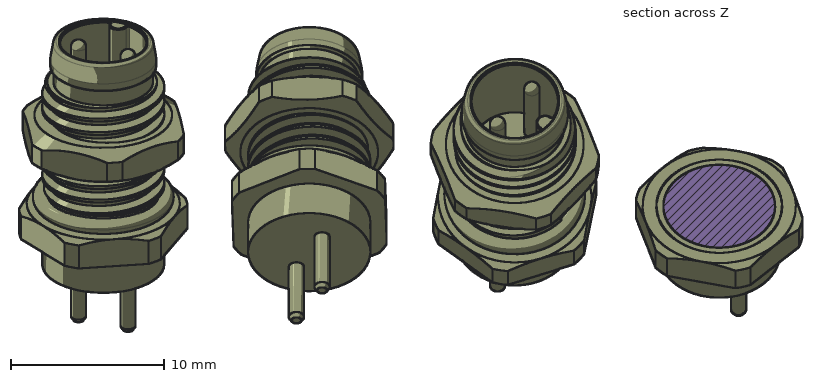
import cadquery as cq
import math


thread_radius = 4.0
thread_root_radius = 3.5
thread_top = 9.0
thread_turns = 8
groove_root_width = 0.25
groove_mouth_width = 0.8
groove_overcut = 0.1
thread_chamfer = 0.34

plug_top = 12.0
neck_radius = 3.25
snap_radius = 3.46
snap_bottom = 10.05
snap_cone_height = 0.15
snap_height = 0.65
lip_radius = 3.25
lip_fillet = 0.2

mouth_radius = 2.9
mouth_depth = 0.06
socket_radius = 2.81
socket_depth = 6.0
socket_chamfer = 0.06

key_radius = 0.57
key_center_y = 2.58
key_blend = 0.13

hex_across_flats = 10.0
hex_corner_diameter = 11.0
hex_chamfer_angle = 30
flange_thickness = 2.0
flange_face_radius = 5.0
nut_bottom = 4.0
nut_thickness = 2.55
nut_face_radius = 4.5
ring_thickness = 1.0
ring_outer_radius = 4.6

base_radius = 4.0
base_bottom = -4.5
pin_radius = 0.5
pin_spacing = 3.49
pin_bottom = -9.0
pin_top = 11.72
pin_tip_radius = 0.32
pin_tip_height = 0.3

thread_bottom = ring_thickness
pitch = (thread_top - thread_bottom) / thread_turns


def cylinder(radius, bottom, top):
    return cq.Workplane("XY").workplane(offset=bottom).circle(radius).extrude(top - bottom)


def revolved(points):
    """Solid of revolution about Z from (radius, height) points."""
    return cq.Workplane("XZ").polyline(points).close().revolve(360, (0, 0, 0), (0, 1, 0))


def hexagon(bottom, thickness, face_radius, corner_angle, chamfer_bottom):
    """Hexagonal prism with rounded corners and conically chamfered faces."""
    top = bottom + thickness
    corner_radius = hex_corner_diameter / 2
    drop = (corner_radius - face_radius) * math.tan(math.radians(hex_chamfer_angle))
    prism = (
        cq.Workplane("XY")
        .workplane(offset=bottom)
        .polygon(6, hex_across_flats / math.cos(math.pi / 6))
        .extrude(thickness)
        .rotate((0, 0, 0), (0, 0, 1), corner_angle)
    )
    upper = [(corner_radius, top - drop), (face_radius, top), (0, top)]
    if chamfer_bottom:
        lower = [(0, bottom), (face_radius, bottom), (corner_radius, bottom + drop)]
    else:
        lower = [(0, bottom), (corner_radius, bottom)]
    return prism.intersect(revolved(lower + upper))


def threaded_shell():
    """Chamfered cylinder with one right-handed groove that stops above the sealing ring."""
    envelope = cylinder(thread_radius, thread_bottom, thread_top).edges().chamfer(thread_chamfer)
    blank = cylinder(thread_radius, thread_bottom - pitch, thread_top + 2 * pitch)

    start_height = thread_bottom + pitch / 4
    mouth_slope = (groove_mouth_width - groove_root_width) / (thread_radius - thread_root_radius)
    outer_radius = thread_radius + groove_overcut
    outer_width = groove_mouth_width + groove_overcut * mouth_slope
    path = cq.Wire.makeHelix(pitch, pitch * (thread_turns + 0.5), thread_root_radius)
    groove = (
        cq.Workplane("XZ")
        .polyline([
            (thread_root_radius, -groove_root_width / 2),
            (outer_radius, -outer_width / 2),
            (outer_radius, outer_width / 2),
            (thread_root_radius, groove_root_width / 2),
        ])
        .close()
        .sweep(cq.Workplane(path), isFrenet=True)
        .rotate((0, 0, 0), (0, 0, 1), 90)
        .translate((0, 0, start_height))
    )
    return blank.cut(groove).intersect(envelope)


def plug_end():
    """Neck and tapered snap-on head with a rounded lip."""
    snap_cylinder_bottom = snap_bottom + snap_cone_height
    profile = [
        (0, thread_top),
        (neck_radius, thread_top),
        (neck_radius, snap_bottom),
        (snap_radius, snap_cylinder_bottom),
        (snap_radius, snap_bottom + snap_height),
        (lip_radius, plug_top),
        (0, plug_top),
    ]
    return revolved(profile).faces(">Z").edges().fillet(lip_fillet)


def socket():
    """Blind bore less the key on its wall, with a chamfered rim and a plain mouth."""
    floor = plug_top - socket_depth
    key_top = plug_top - mouth_depth
    key = (
        cq.Workplane("XY")
        .workplane(offset=floor)
        .center(0, key_center_y + key_radius)
        .slot2D(4 * key_radius, 2 * key_radius, 90)
        .extrude(socket_depth)
    )
    keyed_bore = cylinder(socket_radius, floor, key_top - socket_chamfer).cut(key)
    keyed_bore = keyed_bore.edges("|Z").edges(">Y").fillet(key_blend)
    rim_outline = keyed_bore.faces(">Z").wires().toPending()
    rim = rim_outline.workplane().extrude(socket_chamfer, taper=-45, combine=False)
    mouth = cylinder(mouth_radius, key_top, plug_top)
    return keyed_bore.union(rim).union(mouth)


def sealing_ring():
    """Round ring around the plain core between the flange and the thread."""
    tube_radius = ring_thickness / 2
    center_radius = ring_outer_radius - tube_radius
    ring = (
        cq.Workplane("XZ")
        .center(center_radius, tube_radius)
        .circle(tube_radius)
        .revolve(360, (-center_radius, 0, 0), (-center_radius, 1, 0))
    )
    core = cylinder(thread_radius - thread_chamfer, 0, ring_thickness)
    return ring.union(core)


def pin(x):
    """Contact with a domed upper end and a tapered solder end."""
    shaft = revolved([
        (0, pin_bottom),
        (pin_tip_radius, pin_bottom),
        (pin_radius, pin_bottom + pin_tip_height),
        (pin_radius, pin_top - pin_radius),
        (0, pin_top - pin_radius),
    ])
    dome = cq.Workplane("XY").sphere(pin_radius).translate((0, 0, pin_top - pin_radius))
    return shaft.union(dome).translate((x, 0, 0))


flange = hexagon(-flange_thickness, flange_thickness, flange_face_radius, 30, False)
nut = hexagon(nut_bottom, nut_thickness, nut_face_radius, 0, True)
base = cylinder(base_radius, base_bottom, -flange_thickness)

result = threaded_shell().union(nut).union(plug_end()).union(sealing_ring())
result = result.union(flange).union(base).cut(socket())
for side in (-1, 1):
    result = result.union(pin(side * pin_spacing / 2))